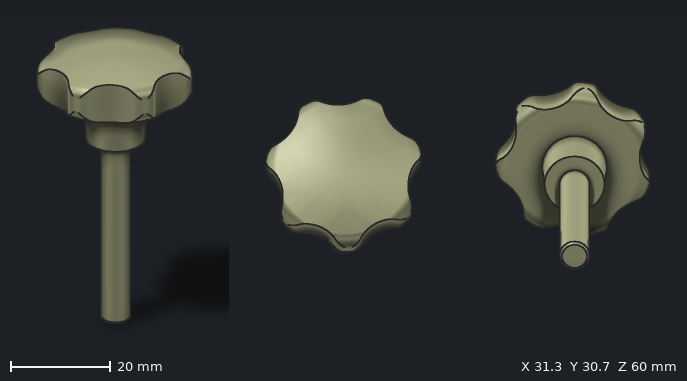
import cadquery as cq
import math

LOBE_COUNT = 7
HEAD_RADIUS = 16.0
HEAD_HEIGHT = 10.0
LOBE_RADIUS = 3.0
SCALLOP_RADIUS = 8.0
RIM_RADIUS = 3.0
DOME_RADIUS = 52.0
FIRST_LOBE_ANGLE = -90.0

HUB_LENGTH = 10.0
HUB_TOP_DIAMETER = 13.0
HUB_BOTTOM_DIAMETER = 12.0

STUD_DIAMETER = 6.0
STUD_LENGTH = 40.0
STUD_CHAMFER = 0.5

HEAD_BOTTOM = HUB_LENGTH
HEAD_TOP = HEAD_BOTTOM + HEAD_HEIGHT


def polar(radius, angle_degrees):
    angle = math.radians(angle_degrees)
    return (radius * math.cos(angle), radius * math.sin(angle))


def domed_blank():
    """Round head blank: flat underside, rounded rims and a spherical top."""
    rim_center = HEAD_RADIUS - RIM_RADIUS
    dome_center_z = HEAD_TOP - DOME_RADIUS
    center_distance = DOME_RADIUS - RIM_RADIUS
    upper_rim_z = dome_center_z + math.sqrt(center_distance**2 - rim_center**2)
    lower_rim_z = HEAD_BOTTOM + RIM_RADIUS
    dome_half_angle = math.asin(rim_center / center_distance)

    def dome_point(angle):
        return (DOME_RADIUS * math.sin(angle), dome_center_z + DOME_RADIUS * math.cos(angle))

    rim_mid_angle = (dome_half_angle + math.pi / 2) / 2
    upper_rim_mid = (
        rim_center + RIM_RADIUS * math.sin(rim_mid_angle),
        upper_rim_z + RIM_RADIUS * math.cos(rim_mid_angle),
    )
    lower_rim_mid = (
        rim_center + RIM_RADIUS * math.sqrt(0.5),
        lower_rim_z - RIM_RADIUS * math.sqrt(0.5),
    )
    profile = (
        cq.Workplane("XZ")
        .moveTo(0, HEAD_BOTTOM)
        .lineTo(rim_center, HEAD_BOTTOM)
        .threePointArc(lower_rim_mid, (HEAD_RADIUS, lower_rim_z))
        .lineTo(HEAD_RADIUS, upper_rim_z)
        .threePointArc(upper_rim_mid, dome_point(dome_half_angle))
        .threePointArc(dome_point(dome_half_angle / 2), (0, HEAD_TOP))
        .close()
    )
    return profile.revolve(360, (0, 0, 0), (0, 1, 0))


def lobed_prism():
    """Prism whose outline alternates convex lobes and tangent concave scallops."""
    pitch = 360 / LOBE_COUNT
    half_pitch = math.radians(pitch / 2)
    lobe_center = HEAD_RADIUS - LOBE_RADIUS
    center_distance = LOBE_RADIUS + SCALLOP_RADIUS
    scallop_center = lobe_center * math.cos(half_pitch) + math.sqrt(
        center_distance**2 - (lobe_center * math.sin(half_pitch)) ** 2
    )
    scallop_bottom = scallop_center - SCALLOP_RADIUS

    blend = LOBE_RADIUS / center_distance
    tangent_along = lobe_center + blend * (scallop_center * math.cos(half_pitch) - lobe_center)
    tangent_across = blend * scallop_center * math.sin(half_pitch)
    tangent_radius = math.hypot(tangent_along, tangent_across)
    tangent_angle = math.degrees(math.atan2(tangent_across, tangent_along))

    outline = cq.Workplane("XY").workplane(offset=HEAD_BOTTOM)
    outline = outline.moveTo(*polar(tangent_radius, FIRST_LOBE_ANGLE - tangent_angle))
    for index in range(LOBE_COUNT):
        lobe_angle = FIRST_LOBE_ANGLE + index * pitch
        outline = outline.threePointArc(
            polar(HEAD_RADIUS, lobe_angle),
            polar(tangent_radius, lobe_angle + tangent_angle),
        )
        outline = outline.threePointArc(
            polar(scallop_bottom, lobe_angle + pitch / 2),
            polar(tangent_radius, lobe_angle + pitch - tangent_angle),
        )
    return outline.close().extrude(HEAD_HEIGHT)


def tapered_hub():
    return (
        cq.Workplane("XY")
        .circle(HUB_BOTTOM_DIAMETER / 2)
        .workplane(offset=HUB_LENGTH)
        .circle(HUB_TOP_DIAMETER / 2)
        .loft()
    )


def stud():
    return (
        cq.Workplane("XY")
        .circle(STUD_DIAMETER / 2)
        .extrude(-STUD_LENGTH)
        .faces("<Z")
        .chamfer(STUD_CHAMFER)
    )


head = domed_blank().intersect(lobed_prism())
result = head.union(tapered_hub()).union(stud())